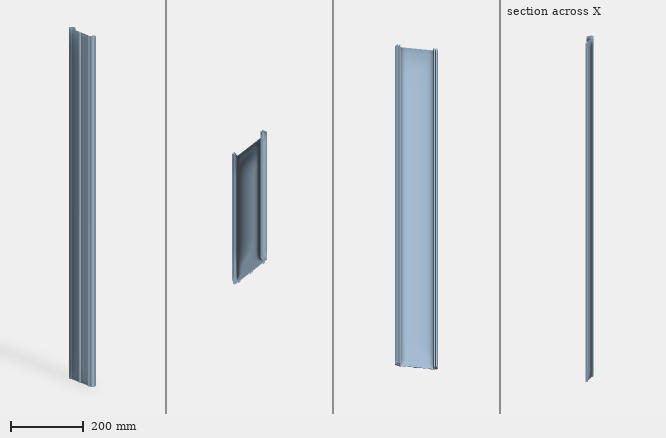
import cadquery as cq
import math

length = 1000.0
width = 120.0
depth = 20.0

half_width = width / 2
front_y = -depth / 2
back_y = depth / 2

web_front_y = -6.9
web_thickness = 2.0
web_back_y = web_front_y + web_thickness

rail_inner_x = 47.0
corner_radius = 6.0
shoulder_slope = 1.3
shoulder_height = 2.5
leg_tip_x = 55.0
leg_base_x = 57.0
leg_base_y = 3.2
slot_inner_x = 50.0
slot_width = 3.0
slot_floor_y = -3.0

side_rib_inner_x = 41.0
side_rib_width = 6.0
center_rib_width = 12.0
center_groove_width = 3.0
center_groove_depth = 2.0
center_rib_height = web_front_y - front_y


def extrude_outline(outline):
    """Extrude a closed XY outline along the full length, centred on Z."""
    return outline.close().extrude(length / 2, both=True)


def bar(x_min, x_max, y_min, y_max):
    """Rectangular bar running the full length."""
    corners = [(x_min, y_min), (x_max, y_min), (x_max, y_max), (x_min, y_max)]
    return extrude_outline(cq.Workplane("XY").polyline(corners))


def edge_rail():
    """Slotted clip rail along the +X edge."""
    corner_top_y = web_front_y + corner_radius
    shoulder_y = corner_top_y + shoulder_height
    shoulder_x = half_width - shoulder_slope
    arc_middle = (
        half_width - corner_radius * (1 - math.sqrt(0.5)),
        corner_top_y - corner_radius * math.sqrt(0.5),
    )
    body = extrude_outline(
        cq.Workplane("XY")
        .moveTo(rail_inner_x, web_front_y)
        .lineTo(half_width - corner_radius, web_front_y)
        .threePointArc(arc_middle, (half_width, corner_top_y))
        .lineTo(shoulder_x, shoulder_y)
        .lineTo(leg_base_x, leg_base_y)
        .lineTo(leg_tip_x, back_y)
        .lineTo(rail_inner_x, back_y)
    )
    return body.cut(bar(slot_inner_x, slot_inner_x + slot_width, slot_floor_y, back_y))


def side_rib():
    """Square-edged rib on the front face, next to the +X rail."""
    return bar(side_rib_inner_x, side_rib_inner_x + side_rib_width, front_y, web_back_y)


def center_rib():
    """Rib along the middle of the front face, with quarter-round sides and a groove."""
    half_base = center_rib_width / 2
    half_top = half_base - center_rib_height
    arc_x = half_top + center_rib_height * math.sqrt(0.5)
    arc_y = web_front_y - center_rib_height * math.sqrt(0.5)
    rib = extrude_outline(
        cq.Workplane("XY")
        .moveTo(-half_base, web_front_y)
        .threePointArc((-arc_x, arc_y), (-half_top, front_y))
        .lineTo(half_top, front_y)
        .threePointArc((arc_x, arc_y), (half_base, web_front_y))
    )
    half_groove = center_groove_width / 2
    groove = bar(-half_groove, half_groove, front_y, front_y + center_groove_depth)
    return rib.cut(groove)


web = bar(-rail_inner_x, rail_inner_x, web_front_y, web_back_y)
right_edge = edge_rail().union(side_rib())
left_edge = right_edge.mirror("YZ")
result = web.union(right_edge).union(left_edge).union(center_rib())